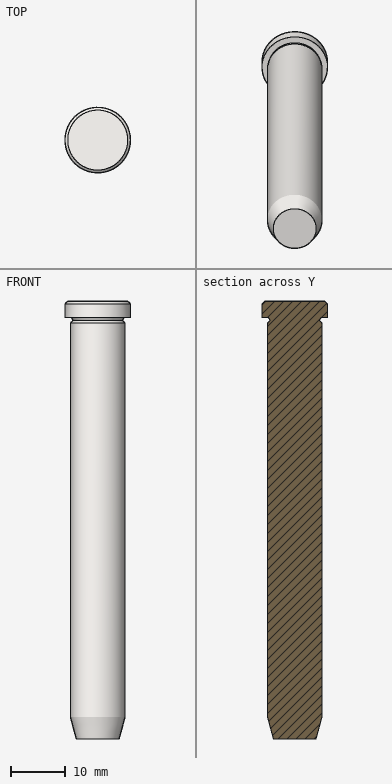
import cadquery as cq

total_length = 80.0
head_diameter = 12.0
head_height = 3.0
head_chamfer = 0.52
shank_diameter = 10.0

groove_width = 1.0
groove_depth = 0.5
groove_top_diameter = 9.7

tip_diameter = 7.8
tip_length = 4.0

head_radius = head_diameter / 2
shank_radius = shank_diameter / 2
groove_radius = shank_radius - groove_depth
groove_top_radius = groove_top_diameter / 2
tip_radius = tip_diameter / 2
head_underside = total_length - head_height
groove_bottom = head_underside - groove_width

profile = (
    cq.Workplane("XZ")
    .moveTo(0, 0)
    .lineTo(tip_radius, 0)
    .lineTo(shank_radius, tip_length)
    .lineTo(shank_radius, groove_bottom)
    .lineTo(groove_radius, groove_bottom + groove_width / 2)
    .lineTo(groove_top_radius, head_underside)
    .lineTo(head_radius, head_underside)
    .lineTo(head_radius, total_length - head_chamfer)
    .lineTo(head_radius - head_chamfer, total_length)
    .lineTo(0, total_length)
    .close()
)

result = profile.revolve(360, (0, 0, 0), (0, 1, 0))